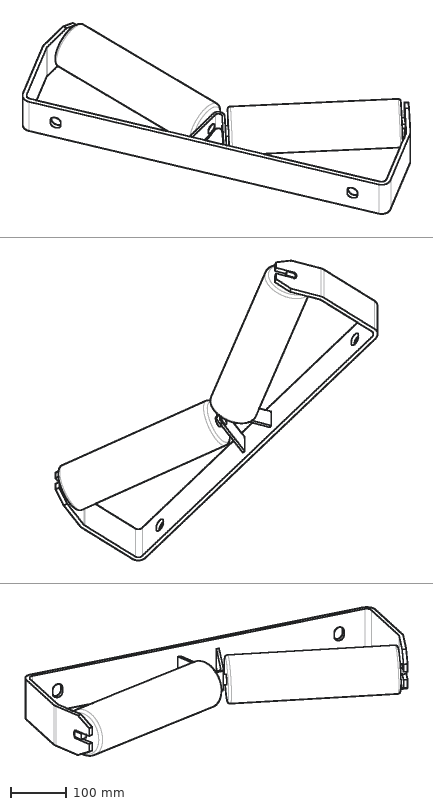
import cadquery as cq
import math

frame_length = 700.0
frame_height = 80.0
frame_thickness = 8.0
frame_bend_radius = 9.0
lean_angle = 20.0
wall_height = 137.0
leg_length = 89.0
leg_corner_length = 29.0
leg_corner_height = 16.0
bolt_hole_spacing = 565.0
bolt_hole_width = 19.5
bolt_hole_height = 26.5

bracket_thickness = 5.0
bracket_bend_radius = 7.0
bracket_half_width = 41.0
bracket_height = 40.0

roller_diameter = 89.0
roller_length = 315.0
roller_rounding = 5.0
roller_droop = 1.2
end_gap = 5.5
axle_diameter = 19.5
axle_protrusion = 1.0
tongue_width = 16.0
tongue_height = 12.0
axle_to_leg_end = 29.0
slot_width = 16.0
slot_bottom_radius = 10.5

lean = math.radians(lean_angle)
droop = math.radians(roller_droop)

along_leg = cq.Vector(math.sin(lean), math.cos(lean), 0)
across_leg = cq.Vector(math.cos(lean), -math.sin(lean), 0)
roller_axis = across_leg * math.cos(droop) - cq.Vector(0, 0, math.sin(droop))

outer_kink = cq.Vector(-frame_length / 2, wall_height, 0)
leg_end = outer_kink + along_leg * leg_length
axle_seat = leg_end - along_leg * axle_to_leg_end


def extrude_outline(points, height):
    outline = [(point.x, point.y) for point in points]
    return cq.Workplane("XY").polyline(outline).close().extrude(height / 2, both=True)


def mirrored(point):
    return cq.Vector(-point.x, point.y, point.z)


def round_bend(strip, point, radius):
    corner = cq.selectors.NearestToPointSelector((point.x, point.y, 0))
    return strip.edges("|Z").edges(corner).fillet(radius)


def mirror_pair(left_half):
    return left_half.union(left_half.mirror("YZ"))


def make_frame_half():
    """Left half of the bent strip, with both bends rounded."""
    outer_corner = cq.Vector(-frame_length / 2, 0, 0)
    inner_corner = outer_corner + cq.Vector(frame_thickness, frame_thickness, 0)
    kink_drop = frame_thickness * math.tan(lean / 2)
    inner_kink = outer_kink + cq.Vector(frame_thickness, -kink_drop, 0)
    strip = extrude_outline(
        [
            cq.Vector(0, 0, 0),
            outer_corner,
            outer_kink,
            leg_end,
            leg_end + across_leg * frame_thickness,
            inner_kink,
            inner_corner,
            cq.Vector(0, frame_thickness, 0),
        ],
        frame_height,
    )
    for outer_point, inner_point in ((outer_corner, inner_corner), (outer_kink, inner_kink)):
        strip = round_bend(strip, inner_point, frame_bend_radius)
        strip = round_bend(strip, outer_point, frame_bend_radius + frame_thickness)
    return strip


def leg_plane(origin):
    """Plane on the outer face of the left leg: local X runs to the leg end, normal runs inward."""
    return cq.Workplane(cq.Plane(origin=origin, xDir=along_leg, normal=across_leg))


def make_leg_corner_cuts():
    half_height = frame_height / 2
    upper = (
        leg_plane(leg_end)
        .polyline([(0, half_height), (-leg_corner_length, half_height), (0, half_height - leg_corner_height)])
        .close()
        .extrude(frame_thickness)
    )
    return upper.union(upper.mirror("XY"))


def make_axle_slot():
    """Slot open at the leg end, with a round bottom under the axle."""
    opening = (
        leg_plane(axle_seat)
        .center(axle_to_leg_end / 2, 0)
        .rect(axle_to_leg_end, slot_width)
        .extrude(frame_thickness)
    )
    bottom = leg_plane(axle_seat).circle(slot_bottom_radius).extrude(frame_thickness)
    band = leg_plane(axle_seat).rect(2 * slot_bottom_radius, slot_width).extrude(frame_thickness)
    return opening.union(bottom.intersect(band))


def make_frame():
    half = make_frame_half().cut(make_leg_corner_cuts()).cut(make_axle_slot())
    bolt_holes = (
        cq.Workplane("XZ")
        .pushPoints([(-bolt_hole_spacing / 2, 0), (bolt_hole_spacing / 2, 0)])
        .slot2D(bolt_hole_height, bolt_hole_width, 90)
        .extrude(-frame_thickness)
    )
    return mirror_pair(half).cut(bolt_holes)


def make_bracket():
    """Folded strip whose feet rest on the frame base."""
    foot_width = bracket_thickness / math.cos(lean)
    outer_foot = cq.Vector(-bracket_half_width, frame_thickness, 0)
    inner_foot = outer_foot + cq.Vector(foot_width, 0, 0)
    outer_peak = cq.Vector(0, frame_thickness - outer_foot.x / math.tan(lean), 0)
    inner_peak = cq.Vector(0, frame_thickness - inner_foot.x / math.tan(lean), 0)
    strip = extrude_outline(
        [
            outer_foot,
            outer_peak,
            mirrored(outer_foot),
            mirrored(inner_foot),
            inner_peak,
            inner_foot,
        ],
        bracket_height,
    )
    strip = round_bend(strip, inner_peak, bracket_bend_radius)
    return round_bend(strip, outer_peak, bracket_bend_radius + bracket_thickness)


def make_roller():
    """Left roller with its axle, from the outer leg face to just past the bracket's inner face."""
    face_offset = frame_thickness + end_gap
    bracket_face = cq.Vector(-bracket_half_width, frame_thickness, 0)
    bracket_distance = (bracket_face - axle_seat).dot(across_leg) + bracket_thickness
    axle_length = bracket_distance / math.cos(droop) + axle_protrusion

    axis_plane = cq.Plane(origin=axle_seat, xDir=along_leg, normal=roller_axis)
    drum = (
        cq.Workplane(axis_plane)
        .workplane(offset=face_offset)
        .circle(roller_diameter / 2)
        .extrude(roller_length)
        .edges("%CIRCLE")
        .fillet(roller_rounding)
    )
    round_axle = (
        cq.Workplane(axis_plane)
        .workplane(offset=face_offset)
        .circle(axle_diameter / 2)
        .extrude(axle_length - face_offset)
    )
    tongue = cq.Workplane(axis_plane).rect(tongue_width, tongue_height).extrude(face_offset)
    return drum.union(round_axle).union(tongue)


def make_roller_set():
    """Bracket with a roller carried on each side."""
    return make_bracket().union(mirror_pair(make_roller()))


frame = make_frame()
roller_set = make_roller_set()

result = cq.Compound.makeCompound([frame.val(), roller_set.val()])